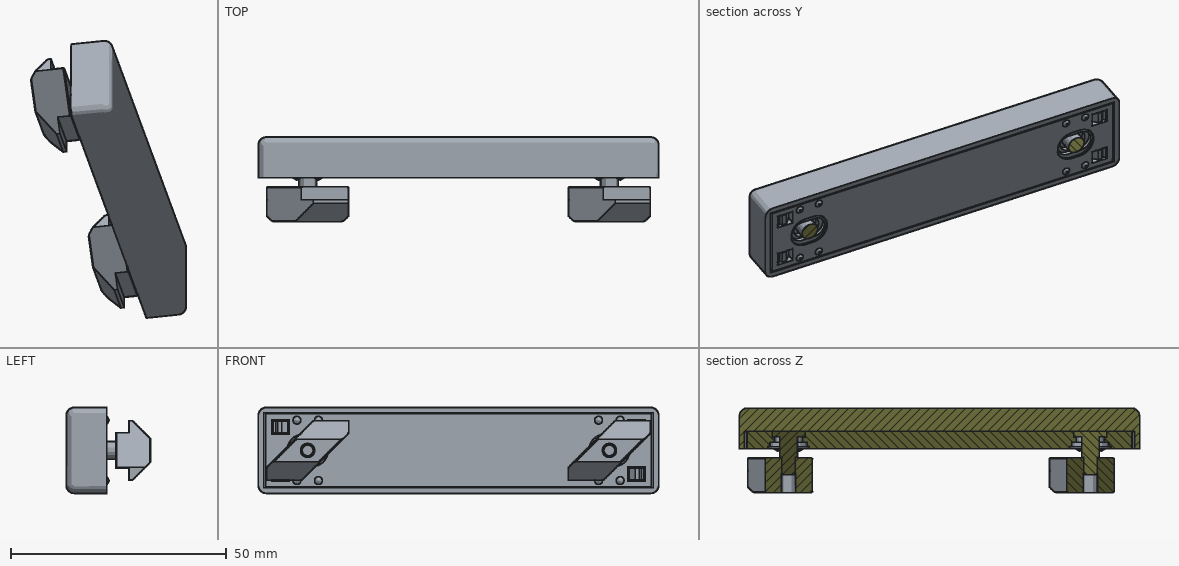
import cadquery as cq


HOUSING_LENGTH = 93.0
HOUSING_WIDTH = 20.0
HOUSING_DEPTH = 9.5
EDGE_RADIUS = 2.0
WALL = 1.3

PLATE_THICKNESS = 4.0
PLATE_END_GAP = 0.5
PLATE_SIDE_GAP = 0.25

WINDOW_LENGTH = 4.0
WINDOW_WIDTH = 3.3
WINDOW_X = 41.3
WINDOW_Z = 5.45
CATCH_GAP = 0.3
CATCH_DROP = 0.15
CATCH_RAMP = 1.4
CATCH_CREST = 0.95
CATCH_NOTCH_DEPTH = 0.5

PIP_RADIUS = 0.9
PIP_HEIGHT = 0.5
PIP_X = 2.5
PIP_Z = 7.0

SLOT_STEPS = [
    (9.5, 7.5, 0.5),
    (8.6, 5.2, 1.5),
    (6.5, 4.5, PLATE_THICKNESS),
]

SCREW_SPACING = 70.0
SHANK_DIAMETER = 4.2
THREAD_DIAMETER = 3.24
THREAD_LENGTH = 4.0
THREAD_CHAMFER = 0.35
HEAD_DIAMETER = 7.5
HEAD_HEIGHT = 1.2

NUT_LENGTH = 19.0
NUT_BACK = -2.0
NUT_FRONT = -10.2
NECK_WIDTH = 8.2
WING_WIDTH = 13.8
WING_BACK = -5.1
WING_EDGE = 0.8
NUT_END_FLAT = 2.95
NUT_CHAMFER = 0.25

POCKET_LENGTH = HOUSING_LENGTH - 2 * WALL
POCKET_WIDTH = HOUSING_WIDTH - 2 * WALL
SCREW_X = [-SCREW_SPACING / 2, SCREW_SPACING / 2]
WINDOW_CENTRES = [(x, z) for x in (-WINDOW_X, WINDOW_X) for z in (-WINDOW_Z, WINDOW_Z)]


def block(length, width, depth):
    """Rectangular block from Y = 0 to Y = depth."""
    return cq.Workplane("XZ").rect(length, width).extrude(-depth)


def cylinder(diameter, y_start, y_end):
    """Round bar along Y on the axis X = Z = 0."""
    return cq.Workplane("XZ", origin=(0, y_start, 0)).circle(diameter / 2).extrude(y_start - y_end)


def make_catch():
    """Catch for a window on the +X end: inner ramp, flat crest and a V notch."""
    half_length = WINDOW_LENGTH / 2 - CATCH_GAP
    crest_y = CATCH_DROP
    crest_start = CATCH_RAMP - half_length
    crest_end = crest_start + CATCH_CREST
    profile = [
        (-half_length, PLATE_THICKNESS),
        (-half_length, crest_y + CATCH_RAMP),
        (crest_start, crest_y),
        (crest_end, crest_y),
        (crest_end + CATCH_NOTCH_DEPTH, crest_y + CATCH_NOTCH_DEPTH),
        (half_length, crest_y),
        (half_length, PLATE_THICKNESS),
    ]
    half_width = WINDOW_WIDTH / 2 - CATCH_GAP
    return cq.Workplane("XY").polyline(profile).close().extrude(half_width, both=True)


def make_housing():
    body = block(HOUSING_LENGTH, HOUSING_WIDTH, HOUSING_DEPTH)
    body = body.edges("|Y").fillet(EDGE_RADIUS)
    body = body.faces(">Y").edges().fillet(EDGE_RADIUS)
    body = body.cut(block(POCKET_LENGTH, POCKET_WIDTH, PLATE_THICKNESS))
    right_catch = make_catch()
    left_catch = right_catch.mirror("YZ")
    for x, z in WINDOW_CENTRES:
        catch = right_catch if x > 0 else left_catch
        body = body.union(catch.translate((x, 0, z)))
    return body


def make_pip():
    """Cone whose point stands out from the rim plane."""
    return cq.Workplane(cq.Solid.makeCone(PIP_RADIUS, 0, PIP_HEIGHT, dir=cq.Vector(0, -1, 0)))


def cut_screw_slot(body, x):
    """Stepped slot from the front and a round seat for the screw head at the back."""
    for length, width, depth in SLOT_STEPS:
        slot = cq.Workplane("XZ").slot2D(length, width).extrude(-depth)
        body = body.cut(slot.translate((x, 0, 0)))
    seat = cylinder(HEAD_DIAMETER, PLATE_THICKNESS - HEAD_HEIGHT, PLATE_THICKNESS)
    return body.cut(seat.translate((x, 0, 0)))


def make_plate():
    length = POCKET_LENGTH - 2 * PLATE_END_GAP
    width = POCKET_WIDTH - 2 * PLATE_SIDE_GAP
    body = block(length, width, PLATE_THICKNESS)
    window = block(WINDOW_LENGTH, WINDOW_WIDTH, PLATE_THICKNESS)
    for x, z in WINDOW_CENTRES:
        body = body.cut(window.translate((x, 0, z)))
    pip = make_pip()
    for x in SCREW_X:
        body = cut_screw_slot(body, x)
        for dx in (-PIP_X, PIP_X):
            for z in (-PIP_Z, PIP_Z):
                body = body.union(pip.translate((x + dx, 0, z)))
    return body


def make_screw(x):
    """Head behind the plate, plain shank up to the nut and a chamfered end inside it."""
    head = cylinder(HEAD_DIAMETER, PLATE_THICKNESS - HEAD_HEIGHT, PLATE_THICKNESS)
    shank = cylinder(SHANK_DIAMETER, NUT_BACK, PLATE_THICKNESS)
    thread = cylinder(THREAD_DIAMETER, NUT_BACK - THREAD_LENGTH, NUT_BACK)
    thread = thread.faces("<Y").chamfer(THREAD_CHAMFER)
    return head.union(shank).union(thread).translate((x, 0, 0))


def make_nut(x):
    """T-shaped bar with 45 degree slopes, its ends cut slantwise at 45 degrees."""
    neck = NECK_WIDTH / 2
    wing = WING_WIDTH / 2
    slope_start = WING_BACK - WING_EDGE
    front_half = wing - (slope_start - NUT_FRONT)
    upper_section = [
        (NUT_BACK, neck),
        (WING_BACK, neck),
        (WING_BACK, wing),
        (slope_start, wing),
        (NUT_FRONT, front_half),
    ]
    lower_section = [(y, -z) for y, z in reversed(upper_section)]
    half_length = NUT_LENGTH / 2
    bar = cq.Workplane("YZ").polyline(upper_section + lower_section).close()
    bar = bar.extrude(half_length, both=True)

    slant_run = WING_WIDTH - NUT_END_FLAT
    outline = [
        (-half_length, -wing),
        (half_length - slant_run, -wing),
        (half_length, slant_run - wing),
        (half_length, wing),
        (slant_run - half_length, wing),
        (-half_length, wing - slant_run),
    ]
    nut = bar.intersect(cq.Workplane("XZ").polyline(outline).close().extrude(-NUT_FRONT))
    nut = nut.faces("<Y or >Y").edges("not |X").chamfer(NUT_CHAMFER)
    nut = nut.cut(cylinder(THREAD_DIAMETER, NUT_FRONT, NUT_BACK))
    return nut.translate((x, 0, 0))


housing = make_housing()
plate = make_plate()
screws = [make_screw(x) for x in SCREW_X]
nuts = [make_nut(x) for x in SCREW_X]

bodies = [housing, plate, *screws, *nuts]
result = cq.Compound.makeCompound([body.solids().val() for body in bodies])